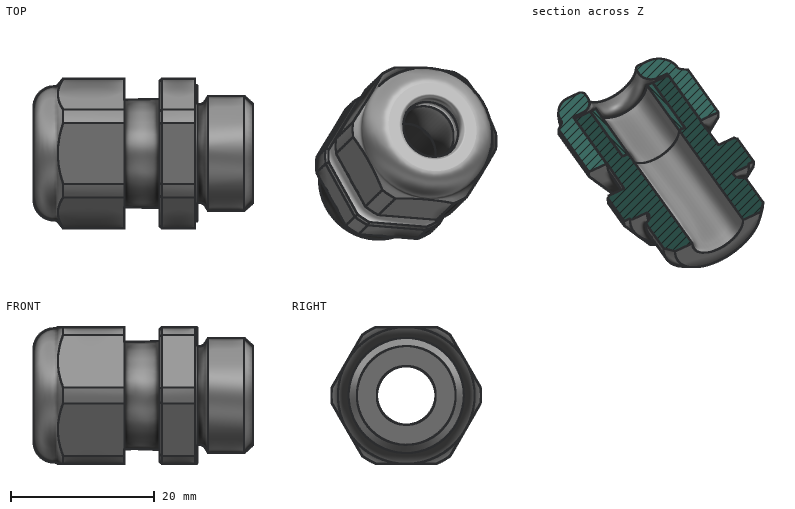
import cadquery as cq
import math


total_length = 30.5
hex_across_flats = 19.0
corner_diameter = 20.8

nut_end = 12.63
dome_diameter = 18.7
dome_radius = 3.0
dome_collar_end = 3.05
collar_fillet = 0.43
nut_cone_end = 4.12
nut_cone_angle = math.radians(49)
lip_diameter = 8.2
lip_entry_fillet = 0.67
lip_length = 1.35
lip_flare_radius = 1.95

sleeve_start = 3.57
sleeve_end = nut_end
sleeve_diameter = 10.1
bore_diameter = 8.1

neck_front_diameter = 14.98
neck_rear_diameter = 15.2
hex_start = 17.48
hex_end = 22.45
hex_chamfer_depth = 0.37
hex_chamfer_length = 0.4
flange_end = 22.75
flange_edge_fillet = 0.15
groove_diameter = 13.72
groove_radius = 0.9
groove_side_angle = math.radians(60)
thread_start = 24.28
thread_diameter = 16.0
thread_chamfer_start = 29.25
thread_end_diameter = 13.72


def hex_prism(x_start, x_end):
    """Hexagon bar along X with its corners trimmed by a cylinder."""
    length = x_end - x_start
    sharp_diameter = hex_across_flats / math.cos(math.radians(30))
    base = cq.Workplane("YZ", origin=(x_start, 0, 0))
    bar = base.polygon(6, sharp_diameter).extrude(length)
    return bar.intersect(base.circle(corner_diameter / 2).extrude(length))


def turned(profile):
    """Revolve a closed (x, radius) profile about the X axis."""
    return profile.close().revolve(360, (0, 0, 0), (1, 0, 0))


def cylinder(x_start, x_end, diameter):
    return cq.Workplane("YZ", origin=(x_start, 0, 0)).circle(diameter / 2).extrude(x_end - x_start)


def arc_point(center, radius, angle):
    """Point on a circle in the (x, radius) plane, at an angle in radians."""
    return (center[0] + radius * math.cos(angle), center[1] + radius * math.sin(angle))


def nut_envelope():
    """Dome, filleted collar and cone that shape the front of the cap nut."""
    dome_r = dome_diameter / 2
    corner_r = corner_diameter / 2
    dome_center = (dome_radius, dome_r - dome_radius)
    fillet_center = (dome_collar_end, dome_r + collar_fillet)
    fillet_mid = arc_point(fillet_center, collar_fillet, nut_cone_angle / 2 - math.pi / 2)
    fillet_end = arc_point(fillet_center, collar_fillet, nut_cone_angle - math.pi / 2)
    return turned(
        cq.Workplane("XY")
        .lineTo(0, dome_center[1])
        .threePointArc(arc_point(dome_center, dome_radius, 0.75 * math.pi), (dome_radius, dome_r))
        .lineTo(dome_collar_end, dome_r)
        .threePointArc(fillet_mid, fillet_end)
        .lineTo(nut_cone_end, corner_r)
        .lineTo(nut_end, corner_r)
        .lineTo(nut_end, 0)
    )


def nut_opening():
    """Rounded lip that flares inward, followed by the cavity for the housing stem."""
    lip_r = lip_diameter / 2
    cavity_r = neck_front_diameter / 2
    entry_center = (lip_entry_fillet, lip_r + lip_entry_fillet)
    flare_center = (lip_length, lip_r + lip_flare_radius)
    flare_end = (lip_length + lip_flare_radius, flare_center[1])
    return turned(
        cq.Workplane("XY")
        .lineTo(0, entry_center[1])
        .threePointArc(arc_point(entry_center, lip_entry_fillet, -0.75 * math.pi), (lip_entry_fillet, lip_r))
        .lineTo(lip_length, lip_r)
        .threePointArc(arc_point(flare_center, lip_flare_radius, -0.25 * math.pi), flare_end)
        .lineTo(flare_end[0], cavity_r)
        .lineTo(nut_end, cavity_r)
        .lineTo(nut_end, 0)
    )


def make_cap_nut():
    return hex_prism(0, nut_end).intersect(nut_envelope()).cut(nut_opening())


def make_sleeve():
    sleeve = cylinder(sleeve_start, sleeve_end, sleeve_diameter)
    return sleeve.cut(cylinder(sleeve_start, sleeve_end, bore_diameter))


def housing_stem():
    """Stem inside the nut and the slightly tapered neck behind it."""
    front_r = neck_front_diameter / 2
    return turned(
        cq.Workplane("XY")
        .moveTo(sleeve_start, 0)
        .lineTo(sleeve_start, front_r)
        .lineTo(nut_end, front_r)
        .lineTo(hex_start, neck_rear_diameter / 2)
        .lineTo(hex_start, 0)
    )


def housing_hex():
    """Wrench hexagon, chamfered on the edge facing the nut."""
    return hex_prism(hex_start, hex_end).faces("<X").chamfer(hex_chamfer_depth, hex_chamfer_length)


def housing_flange():
    flange = cylinder(hex_end, flange_end, hex_across_flats)
    return flange.faces(">X").edges().fillet(flange_edge_fillet)


def housing_thread():
    """Round-bottomed undercut groove with a conical side, then the plain thread cylinder."""
    bottom_r = groove_diameter / 2
    thread_r = thread_diameter / 2
    arc_rise = groove_radius * (1 - math.cos(groove_side_angle))
    side_length = (thread_r - bottom_r - arc_rise) / math.tan(groove_side_angle)
    bottom_x = thread_start - side_length - groove_radius * math.sin(groove_side_angle)
    arc_center = (bottom_x, bottom_r + groove_radius)
    arc_end = arc_point(arc_center, groove_radius, groove_side_angle - math.pi / 2)
    flange_side_height = arc_center[1] - math.sqrt(groove_radius**2 - (bottom_x - flange_end) ** 2)
    return turned(
        cq.Workplane("XY")
        .moveTo(flange_end, 0)
        .lineTo(flange_end, flange_side_height)
        .threePointArc((bottom_x, bottom_r), arc_end)
        .lineTo(thread_start, thread_r)
        .lineTo(thread_chamfer_start, thread_r)
        .lineTo(total_length, thread_end_diameter / 2)
        .lineTo(total_length, 0)
    )


def make_housing():
    housing = housing_stem().union(housing_hex()).union(housing_flange()).union(housing_thread())
    sleeve_seat = cylinder(sleeve_start, sleeve_end, sleeve_diameter)
    through_bore = cylinder(sleeve_start, total_length, bore_diameter)
    return housing.cut(sleeve_seat).cut(through_bore)


cap_nut = make_cap_nut().solids()
sleeve = make_sleeve().solids()
housing = make_housing().solids()

result = cq.Compound.makeCompound([cap_nut.val(), sleeve.val(), housing.val()])